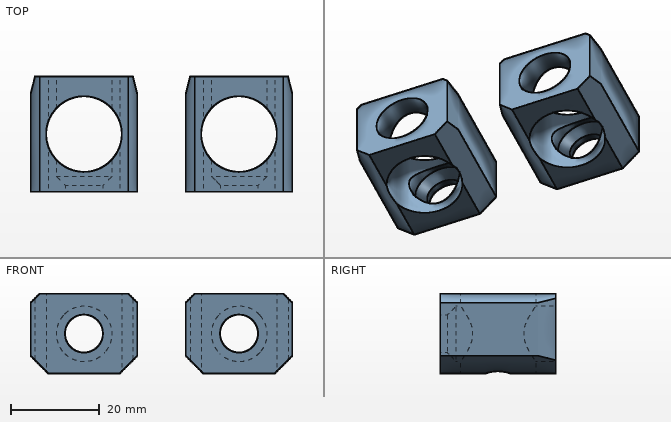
import cadquery as cq

overall_length = 59.0
block_width = 24.1
block_depth = 26.0
block_height = 18.0
top_chamfer = 2.05
bottom_chamfer = 4.0
taper_inset = 1.0
taper_length = 4.0
bore_diameter = 17.0
cross_hole_diameter = 8.5
socket_diameter = 12.5
lip_length = 1.55

half_width = block_width / 2
half_depth = block_depth / 2
half_height = block_height / 2
socket_depth = block_depth - lip_length
socket_floor_chamfer = (socket_diameter - cross_hole_diameter) / 2
block_offset = (overall_length - block_width) / 2


def chamfered_bar():
    """Bar along Y with small chamfers on top and large ones below."""
    bar = cq.Workplane("XY").box(block_width, block_depth, block_height)
    bar = bar.edges("|Y and >Z").chamfer(top_chamfer)
    return bar.edges("|Y and <Z").chamfer(bottom_chamfer)


def tapered_envelope():
    """Plan outline whose sides narrow towards the +Y end."""
    end_half_width = half_width - taper_inset
    return (
        cq.Workplane("XY")
        .workplane(offset=-half_height)
        .moveTo(-half_width, -half_depth)
        .lineTo(half_width, -half_depth)
        .lineTo(half_width, half_depth - taper_length)
        .lineTo(end_half_width, half_depth)
        .lineTo(-end_half_width, half_depth)
        .lineTo(-half_width, half_depth - taper_length)
        .close()
        .extrude(block_height)
    )


def vertical_bore():
    return cq.Workplane("XY").circle(bore_diameter / 2).extrude(half_height, both=True)


def cross_hole():
    return cq.Workplane("XZ").circle(cross_hole_diameter / 2).extrude(half_depth, both=True)


def rear_socket():
    """Larger hole along Y, entering from the +Y end and crossing the bore.

    Its floor tapers at 45 degrees down to the smaller cross hole at the -Y lip.
    """
    return (
        cq.Workplane("XZ", origin=(0, half_depth, 0))
        .circle(socket_diameter / 2)
        .extrude(socket_depth)
        .faces("<Y")
        .chamfer(socket_floor_chamfer)
    )


def clamp_block(x_centre):
    block = chamfered_bar().intersect(tapered_envelope())
    block = block.cut(vertical_bore()).cut(cross_hole()).cut(rear_socket())
    return block.translate((x_centre, 0, 0))


blocks = [clamp_block(side * block_offset) for side in (-1, 1)]

result = cq.Compound.makeCompound([block.solids().val() for block in blocks])